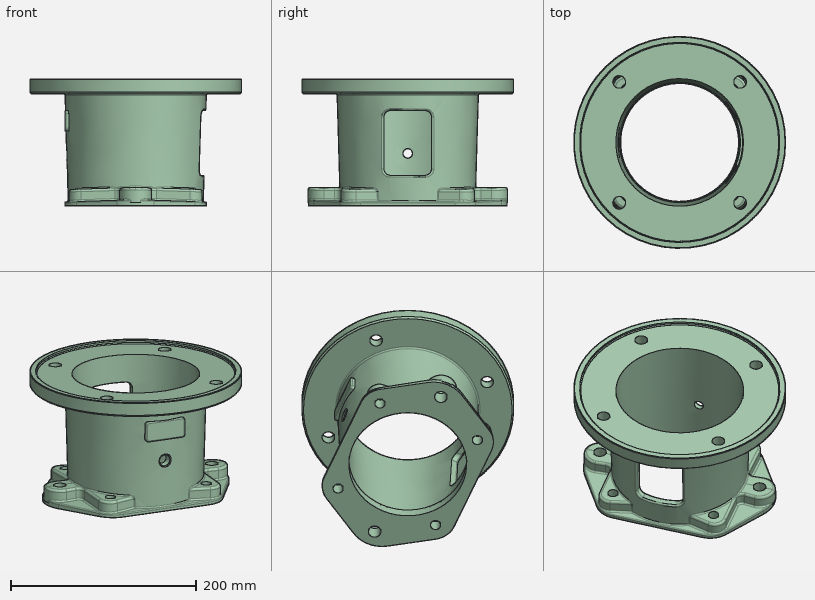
import cadquery as cq
import math

HEIGHT = 136.7

FLANGE_RADIUS = 114.3
FLANGE_THICKNESS = 16.0
FLANGE_TOP_CHAMFER = 0.7
FLANGE_BOTTOM_CHAMFER = 1.8
RECESS_RADIUS = 108.0
RECESS_DEPTH = 3.2
RECESS_CORNER_CHAMFER = 1.1
FLANGE_HOLE_OFFSET = 65.2
FLANGE_HOLE_RADIUS = 6.75

TUBE_TOP_RADIUS = 76.4
TUBE_BOTTOM_RADIUS = 73.0
TUBE_TOP_FILLET = 1.5
TUBE_ROOT_FILLET = 1.4
BORE_TOP_RADIUS = 68.8
BORE_BOTTOM_RADIUS = 65.0
LIP_RADIUS = 63.5
LIP_HEIGHT = 12.8

PLATE_HALF_WIDTH = 76.4
PLATE_CORNER_RADIUS = 26.7
PLATE_CORNER_Y = 50.7
PLATE_END_RADIUS = 37.3
PLATE_END_Y = 70.0
PLATE_EDGE_FILLET = 1.1

PLATE_RIDGE_HEIGHT = 6.6
PAD_RIDGE_HEIGHT = 20.0
TOP_SLOPE = math.radians(1.8)

CORNER_HOLE_OFFSET = 57.2
CORNER_HOLE_RADIUS = 5.5
CORNER_BOSS_OFFSET = 58.8
CORNER_BOSS_RADIUS = 13.0
PAD_SIDE_TILT = math.radians(14.0)
PAD_INNER_Y = 22.9
PAD_START_HEIGHT = 3.5
END_HOLE_Y = 90.5
END_HOLE_RADIUS = 6.75
END_BOSS_RADIUS = 17.1
END_BOSS_NECK_HALF_WIDTH = 15.5
NECK_FILLET = 6.5
PAD_EDGE_FILLET = 2.7
PAD_ROOT_FILLET = 1.8

WINDOW_HALF_WIDTH = 25.5
WINDOW_BOTTOM = 33.0
WINDOW_TOP = 102.6
WINDOW_CORNER_RADIUS = 6.9
WINDOW_EDGE_FILLET = 1.8

BADGE_WIDTH = 46.2
BADGE_BOTTOM = 80.5
BADGE_TOP = 102.9
BADGE_FACE_X = -76.4
BADGE_THICKNESS = 8.0
BADGE_CORNER_RADIUS = 3.2
BADGE_EDGE_FILLET = 1.4

SIDE_HOLE_Z = 56.5
SIDE_HOLE_MOUTH_RADIUS = 7.5
SIDE_HOLE_OUTER_RADIUS = 6.2
SIDE_HOLE_INNER_RADIUS = 4.45
SIDE_HOLE_DEPTH = 11.5

MARGIN = 2.3
REACH = 137.2
TOLERANCE = 0.002

FLANGE_BOTTOM = HEIGHT - FLANGE_THICKNESS
RECESS_FLOOR = HEIGHT - RECESS_DEPTH
AXIS_START = (0, 0, 0)
AXIS_END = (0, 1, 0)


def polar_point(centre_x, centre_y, radius, angle):
    return centre_x + radius * math.cos(angle), centre_y + radius * math.sin(angle)


def sloped_height(ridge_height, x):
    return ridge_height - abs(x) * math.tan(TOP_SLOPE)


def tube_radius(z):
    return TUBE_BOTTOM_RADIUS + (TUBE_TOP_RADIUS - TUBE_BOTTOM_RADIUS) * z / FLANGE_BOTTOM


def sloped_block(ridge_height):
    """Large block topped by two planes that fall away from a ridge along x = 0."""
    eave_height = sloped_height(ridge_height, REACH)
    return (
        cq.Workplane("XZ", origin=(0, REACH, 0))
        .moveTo(-REACH, -REACH)
        .lineTo(REACH, -REACH)
        .lineTo(REACH, eave_height)
        .lineTo(0, ridge_height)
        .lineTo(-REACH, eave_height)
        .close()
        .extrude(2 * REACH)
    )


def rim_edges(body, ridge_height):
    """Edges lying in a sloped top, apart from the ridge and a pad's inner edge."""

    def on_rim(edge):
        middle = edge.positionAt(0.5)
        on_top = abs(middle.z - sloped_height(ridge_height, middle.x)) < TOLERANCE
        on_ridge = abs(middle.x) < TOLERANCE
        on_inner_edge = abs(abs(middle.y) - PAD_INNER_Y) < TOLERANCE
        return on_top and not on_ridge and not on_inner_edge

    return body.edges().filter(on_rim)


def base_plate():
    corner_x = PLATE_HALF_WIDTH - PLATE_CORNER_RADIUS
    rise = PLATE_END_Y - PLATE_CORNER_Y
    radius_gain = PLATE_END_RADIUS - PLATE_CORNER_RADIUS
    centre_line_angle = math.atan2(rise, -corner_x)
    normal = centre_line_angle - math.pi / 2 - math.asin(radius_gain / math.hypot(corner_x, rise))

    start_x, start_y = polar_point(corner_x, PLATE_CORNER_Y, PLATE_CORNER_RADIUS, 0)
    mid_x, mid_y = polar_point(corner_x, PLATE_CORNER_Y, PLATE_CORNER_RADIUS, normal / 2)
    stop_x, stop_y = polar_point(corner_x, PLATE_CORNER_Y, PLATE_CORNER_RADIUS, normal)
    end_x, end_y = polar_point(0, PLATE_END_Y, PLATE_END_RADIUS, normal)
    tip_y = PLATE_END_Y + PLATE_END_RADIUS

    plate = (
        cq.Workplane("XY")
        .moveTo(start_x, -start_y)
        .lineTo(start_x, start_y)
        .threePointArc((mid_x, mid_y), (stop_x, stop_y))
        .lineTo(end_x, end_y)
        .threePointArc((0, tip_y), (-end_x, end_y))
        .lineTo(-stop_x, stop_y)
        .threePointArc((-mid_x, mid_y), (-start_x, start_y))
        .lineTo(-start_x, -start_y)
        .threePointArc((-mid_x, -mid_y), (-stop_x, -stop_y))
        .lineTo(-end_x, -end_y)
        .threePointArc((0, -tip_y), (end_x, -end_y))
        .lineTo(stop_x, -stop_y)
        .threePointArc((mid_x, -mid_y), (start_x, -start_y))
        .close()
        .extrude(PAD_RIDGE_HEIGHT)
        .intersect(sloped_block(PLATE_RIDGE_HEIGHT))
    )
    return rim_edges(plate, PLATE_RIDGE_HEIGHT).fillet(PLATE_EDGE_FILLET)


def pad():
    """Raised pad on the +Y half; its inner end runs into the tube wall and the bore."""
    boss = CORNER_BOSS_OFFSET
    shoulder_y = boss + CORNER_BOSS_RADIUS
    side_x, side_y = polar_point(boss, boss, CORNER_BOSS_RADIUS, -PAD_SIDE_TILT)
    mid_x, mid_y = polar_point(boss, boss, CORNER_BOSS_RADIUS, (math.pi / 2 - PAD_SIDE_TILT) / 2)
    inner_x = side_x - (side_y - PAD_INNER_Y) * math.tan(PAD_SIDE_TILT)
    neck_x = END_BOSS_NECK_HALF_WIDTH

    blank = (
        cq.Workplane("XY", origin=(0, 0, PAD_START_HEIGHT))
        .moveTo(-inner_x, PAD_INNER_Y)
        .lineTo(-side_x, side_y)
        .threePointArc((-mid_x, mid_y), (-boss, shoulder_y))
        .lineTo(-neck_x, shoulder_y)
        .lineTo(-END_BOSS_RADIUS, END_HOLE_Y)
        .threePointArc((0, END_HOLE_Y + END_BOSS_RADIUS), (END_BOSS_RADIUS, END_HOLE_Y))
        .lineTo(neck_x, shoulder_y)
        .lineTo(boss, shoulder_y)
        .threePointArc((mid_x, mid_y), (side_x, side_y))
        .lineTo(inner_x, PAD_INNER_Y)
        .close()
        .extrude(2 * PAD_RIDGE_HEIGHT)
    )

    def at_neck(edge):
        return abs(abs(edge.Center().x) - neck_x) < TOLERANCE

    necked = blank.edges("|Z").filter(at_neck).fillet(NECK_FILLET)
    sloped = necked.intersect(sloped_block(PAD_RIDGE_HEIGHT))
    return rim_edges(sloped, PAD_RIDGE_HEIGHT).fillet(PAD_EDGE_FILLET)


def base():
    rear_pad = pad()
    pads = rear_pad.union(rear_pad.mirror("XZ"))
    joined = base_plate().union(pads)

    def touches_pad(edge):
        middle = cq.Vertex.makeVertex(*edge.positionAt(0.5).toTuple())
        return pads.val().distance(middle) < TOLERANCE

    return rim_edges(joined, PLATE_RIDGE_HEIGHT).filter(touches_pad).fillet(PAD_ROOT_FILLET)


def tube_and_flange():
    solid = (
        cq.Workplane("XZ")
        .lineTo(TUBE_BOTTOM_RADIUS, 0)
        .lineTo(TUBE_TOP_RADIUS, FLANGE_BOTTOM)
        .lineTo(FLANGE_RADIUS - FLANGE_BOTTOM_CHAMFER, FLANGE_BOTTOM)
        .lineTo(FLANGE_RADIUS, FLANGE_BOTTOM + FLANGE_BOTTOM_CHAMFER)
        .lineTo(FLANGE_RADIUS, HEIGHT - FLANGE_TOP_CHAMFER)
        .lineTo(FLANGE_RADIUS - FLANGE_TOP_CHAMFER, HEIGHT)
        .lineTo(RECESS_RADIUS, HEIGHT)
        .lineTo(RECESS_RADIUS, RECESS_FLOOR + RECESS_CORNER_CHAMFER)
        .lineTo(RECESS_RADIUS - RECESS_CORNER_CHAMFER, RECESS_FLOOR)
        .lineTo(0, RECESS_FLOOR)
        .close()
        .revolve(360, AXIS_START, AXIS_END)
    )

    def under_flange(edge):
        at_height = abs(edge.Center().z - FLANGE_BOTTOM) < TOLERANCE
        return at_height and abs(edge.radius() - TUBE_TOP_RADIUS) < TOLERANCE

    return solid.edges("%CIRCLE").filter(under_flange).fillet(TUBE_TOP_FILLET)


def casting():
    """Base, tube and flange joined, with a fillet where the tube meets the base."""
    joined = base().union(tube_and_flange())

    def at_tube_foot(edge):
        middle = edge.positionAt(0.5)
        near_base = PAD_START_HEIGHT < middle.z < PAD_RIDGE_HEIGHT + MARGIN
        on_tube = abs(math.hypot(middle.x, middle.y) - tube_radius(middle.z)) < TOLERANCE
        return near_base and on_tube

    return joined.edges().filter(at_tube_foot).fillet(TUBE_ROOT_FILLET)


def badge_pad():
    blank = (
        cq.Workplane("YZ", origin=(BADGE_FACE_X, 0, (BADGE_BOTTOM + BADGE_TOP) / 2))
        .rect(BADGE_WIDTH, BADGE_TOP - BADGE_BOTTOM)
        .extrude(BADGE_THICKNESS)
    )
    rounded = blank.edges("|X").fillet(BADGE_CORNER_RADIUS)
    return rounded.faces("<X").edges().fillet(BADGE_EDGE_FILLET)


def bore():
    """Tapered bore from the recess floor down to the lip, and the straight opening through it."""
    return (
        cq.Workplane("XZ")
        .lineTo(LIP_RADIUS, 0)
        .lineTo(LIP_RADIUS, LIP_HEIGHT)
        .lineTo(BORE_BOTTOM_RADIUS, LIP_HEIGHT)
        .lineTo(BORE_TOP_RADIUS, RECESS_FLOOR)
        .lineTo(0, RECESS_FLOOR)
        .close()
        .revolve(360, AXIS_START, AXIS_END)
    )


def cut_window(body):
    """Cut the window through the +X wall and round its outer edge."""
    block = (
        cq.Workplane("YZ", origin=(0, 0, (WINDOW_BOTTOM + WINDOW_TOP) / 2))
        .rect(2 * WINDOW_HALF_WIDTH, WINDOW_TOP - WINDOW_BOTTOM)
        .extrude(REACH)
        .edges("|X")
        .fillet(WINDOW_CORNER_RADIUS)
    )
    opened = body.cut(block)

    def on_outer_edge(edge):
        middle = edge.positionAt(0.5)
        beside = abs(middle.y) < WINDOW_HALF_WIDTH + TOLERANCE
        level = WINDOW_BOTTOM - TOLERANCE < middle.z < WINDOW_TOP + TOLERANCE
        on_tube = abs(math.hypot(middle.x, middle.y) - tube_radius(middle.z)) < TOLERANCE
        return middle.x > 0 and beside and level and on_tube

    return opened.edges().filter(on_outer_edge).fillet(WINDOW_EDGE_FILLET)


def side_hole():
    """Tapered hole along X through the -X wall, with a 45 degree chamfer at its mouth."""
    wall_radius = tube_radius(SIDE_HOLE_Z)
    chamfer = SIDE_HOLE_MOUTH_RADIUS - SIDE_HOLE_OUTER_RADIUS
    return (
        cq.Workplane("XY", origin=(-wall_radius, 0, SIDE_HOLE_Z))
        .moveTo(-MARGIN, 0)
        .lineTo(-MARGIN, SIDE_HOLE_MOUTH_RADIUS)
        .lineTo(0, SIDE_HOLE_MOUTH_RADIUS)
        .lineTo(chamfer, SIDE_HOLE_OUTER_RADIUS)
        .lineTo(SIDE_HOLE_DEPTH, SIDE_HOLE_INNER_RADIUS)
        .lineTo(SIDE_HOLE_DEPTH, 0)
        .close()
        .revolve(360, (0, 0, 0), (1, 0, 0))
    )


def pins(points, radius, bottom, top):
    return cq.Workplane("XY", origin=(0, 0, bottom)).pushPoints(points).circle(radius).extrude(top - bottom)


def square_corners(offset):
    return [(x, y) for x in (-offset, offset) for y in (-offset, offset)]


def bolt_holes():
    base_top = PAD_RIDGE_HEIGHT + MARGIN
    flange = pins(square_corners(FLANGE_HOLE_OFFSET), FLANGE_HOLE_RADIUS, FLANGE_BOTTOM - MARGIN, HEIGHT)
    corners = pins(square_corners(CORNER_HOLE_OFFSET), CORNER_HOLE_RADIUS, -MARGIN, base_top)
    ends = pins([(0, -END_HOLE_Y), (0, END_HOLE_Y)], END_HOLE_RADIUS, -MARGIN, base_top)
    return flange.union(corners).union(ends)


hollow = casting().union(badge_pad()).cut(bore())
result = cut_window(hollow).cut(side_hole()).cut(bolt_holes())